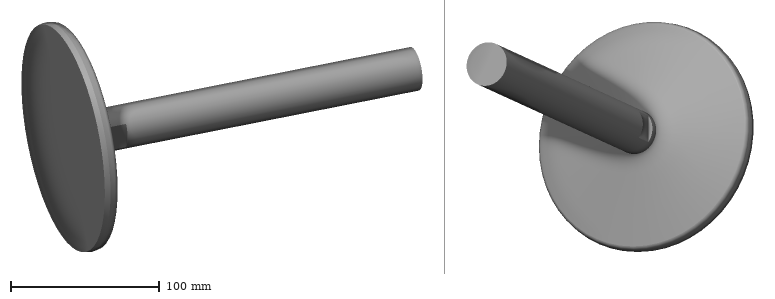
import cadquery as cq
import math

total_length = 254.0
stem_radius = 30.0 / 2
rim_radius = 158.0 / 2

base_radius = 78.2
widest_height = 3.8
band_radius = 78.5
band_height = 7.0
shoulder_radius = 76.5
shoulder_height = 10.0
cone_height = 20.0

flat_spacing = 24.0
flat_start = 26.0
flat_length = 15.0


def make_body():
    """Foot and stem revolved together from one half profile."""
    rise = shoulder_height - band_height
    inset = band_radius - shoulder_radius
    arc_radius = (rise**2 + inset**2) / (2 * inset)
    half_angle = math.atan2(rise, arc_radius - inset) / 2
    shoulder_middle = (
        band_radius - arc_radius * (1 - math.cos(half_angle)),
        band_height + arc_radius * math.sin(half_angle),
    )
    profile = (
        cq.Workplane("XY")
        .lineTo(base_radius, 0)
        .lineTo(rim_radius, widest_height)
        .lineTo(band_radius, band_height)
        .threePointArc(shoulder_middle, (shoulder_radius, shoulder_height))
        .lineTo(stem_radius, cone_height)
        .lineTo(stem_radius, total_length)
        .lineTo(0, total_length)
        .close()
    )
    return profile.revolve(360, (0, 0, 0), (0, 1, 0))


def make_flat_cutter(side):
    """Block that removes the stem outside one flat; side is -1 or +1."""
    depth = stem_radius
    center_x = side * (flat_spacing + depth) / 2
    center_y = flat_start + flat_length / 2
    return cq.Workplane("XY").box(depth, flat_length, 2 * stem_radius).translate((center_x, center_y, 0))


result = make_body()
for side in (-1, 1):
    result = result.cut(make_flat_cutter(side))